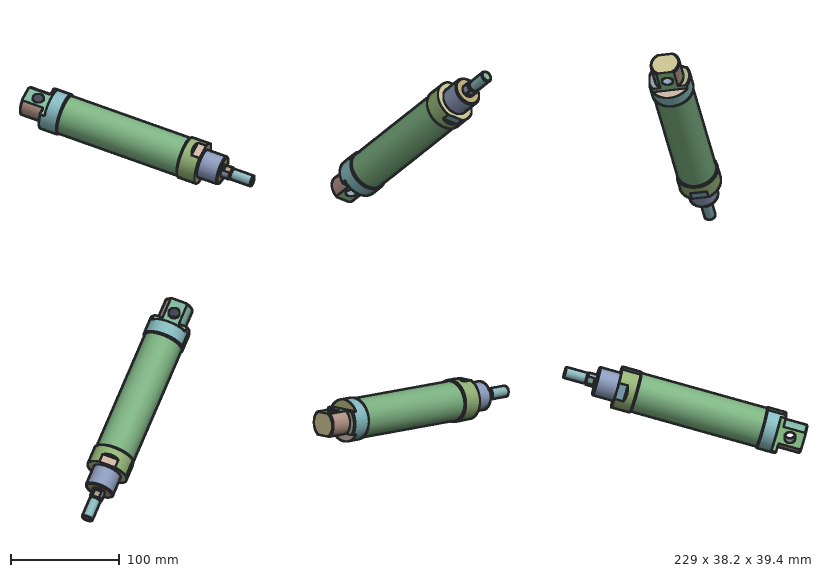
import cadquery as cq


cap_radius = 19.7
barrel_radius = 18.5
side_flat_y = barrel_radius
neck_radius = 13.5
edge_chamfer = 1.0
cap_chamfer = cap_radius - barrel_radius

shoulder_x = 21.5
barrel_start_x = 40.3
front_cap_x = 160.3
nose_start_x = 178.8
nose_end_x = 199.0
collar_end_x = 207.5
thread_start_x = 208.6
rod_tip_x = 229.0

tongue_half_thickness = 10.8
tongue_cut_end_x = 26.3
pin_hole_diameter = 10.3
pin_hole_x = 13.0

cap_flat_half_height = 18.0
cap_flat_start_x = 170.5

collar_radius = 6.0
thread_radius = 5.3
relief_radius = 4.8
collar_chamfer = 0.5
tip_chamfer = 0.7
rod_flat_half_height = 5.0
rod_flat_start_x = 200.8


def disc(start_x, end_x, radius):
    """Round bar along the X axis between two stations."""
    return cq.Workplane("YZ").workplane(offset=start_x).circle(radius).extrude(end_x - start_x)


def cut_side_flat(cap):
    """Trim a cap to the flat on its +Y side."""
    box_size = 2 * rod_tip_x
    block = cq.Workplane("XY").box(box_size, box_size, box_size, centered=(True, False, True))
    return cap.cut(block.translate((0, side_flat_y, 0)))


def cut_flat_pair(body, start_x, end_x, half_height, outer_radius):
    """Cut two flats, above and below the axis, that run out at 45 degrees toward -X."""
    depth = outer_radius - half_height
    for side in (1, -1):
        wedge = (
            cq.Workplane("XZ")
            .moveTo(start_x, side * half_height)
            .lineTo(end_x, side * half_height)
            .lineTo(end_x, side * outer_radius)
            .lineTo(start_x - depth, side * outer_radius)
            .close()
            .extrude(outer_radius, both=True)
        )
        body = body.cut(wedge)
    return body


def make_rear_cap():
    """Rear cap with the flattened mounting tongue and its cross hole."""
    tongue = disc(0, shoulder_x, neck_radius).faces("<X").chamfer(edge_chamfer)
    flange = (
        disc(shoulder_x, barrel_start_x, cap_radius)
        .faces("<X").chamfer(edge_chamfer)
        .faces(">X").chamfer(edge_chamfer)
    )
    cap = tongue.union(flange)

    cut_height = cap_radius - tongue_half_thickness
    for side in (1, -1):
        milled_block = cq.Workplane("XY").box(
            tongue_cut_end_x, 2 * cap_radius, cut_height, centered=(False, True, True)
        )
        cap = cap.cut(milled_block.translate((0, 0, side * (tongue_half_thickness + cut_height / 2))))

    pin_hole = (
        cq.Workplane("XY")
        .center(pin_hole_x, 0)
        .circle(pin_hole_diameter / 2)
        .extrude(tongue_half_thickness, both=True)
    )
    return cut_side_flat(cap.cut(pin_hole))


def make_barrel():
    """Plain barrel between the two caps."""
    return disc(barrel_start_x, front_cap_x, barrel_radius)


def make_front_cap():
    """Front cap with its nose and a pair of wrench flats."""
    flange = disc(front_cap_x, nose_start_x, cap_radius).faces("<X").chamfer(cap_chamfer)
    flange = cut_flat_pair(flange, cap_flat_start_x, nose_start_x, cap_flat_half_height, cap_radius)
    nose = disc(nose_start_x, nose_end_x, neck_radius).faces(">X").chamfer(edge_chamfer)
    return cut_side_flat(flange.union(nose))


def make_rod():
    """Rod end: collar with wrench flats, thread relief and thread."""
    collar = disc(nose_end_x, collar_end_x, collar_radius).faces(">X").chamfer(collar_chamfer)
    collar = cut_flat_pair(collar, rod_flat_start_x, collar_end_x, rod_flat_half_height, collar_radius)
    relief = disc(collar_end_x, thread_start_x, relief_radius)
    thread = disc(thread_start_x, rod_tip_x, thread_radius).faces(">X").chamfer(tip_chamfer)
    return collar.union(relief).union(thread)


rear_cap = make_rear_cap()
barrel = make_barrel()
front_cap = make_front_cap()
rod = make_rod()

result = cq.Compound.makeCompound([rear_cap.val(), barrel.val(), front_cap.val(), rod.val()])